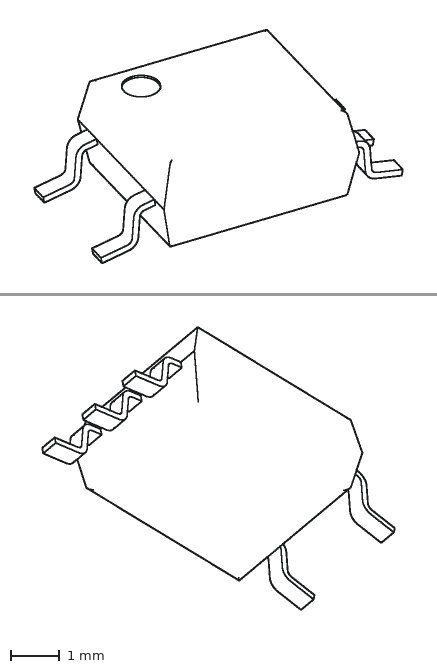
import cadquery as cq
import math

body_width = 3.8
body_length = 4.55
upper_height = 1.0
lower_height = 1.11
side_inset = 0.14
end_inset = 0.22
edge_radius = 0.105

mark_diameter = 0.8
mark_depth = 0.05
mark_x = -1.055
mark_y = -1.245

overall_length = 7.03
lead_width = 0.4
lead_thickness = 0.15
lead_pitch = 1.27
lead_slope = math.radians(11)
leg_lean = math.radians(4)
leg_length = 0.83
shoulder_reach = 0.395
bend_radius = 0.21
embed_length = 0.35


def body_half(height):
    """Tapered half body reaching from the parting plane to Z = height."""
    outer_face = cq.Workplane("XY").rect(body_width, body_length)
    return outer_face.workplane(offset=height).rect(
        body_width - 2 * side_inset, body_length - 2 * end_inset
    ).loft(combine=True)


def make_body():
    upper = body_half(upper_height).faces(">Z").edges().fillet(edge_radius)
    lower = body_half(-lower_height).faces("<Z").edges().fillet(edge_radius)
    mark = (
        cq.Workplane("XY", origin=(mark_x, mark_y, upper_height - mark_depth))
        .circle(mark_diameter / 2)
        .extrude(2 * mark_depth)
    )
    return upper.union(lower).cut(mark)


def make_lead():
    """Lead centred on X = 0 that leaves the +Y end of the body."""
    half_thickness = lead_thickness / 2
    body_end = body_length / 2
    slope = math.tan(lead_slope)

    start = (body_end - embed_length, embed_length * slope - half_thickness)
    upper_bend = (body_end + shoulder_reach, -shoulder_reach * slope - half_thickness)
    lower_bend = (
        upper_bend[0] + leg_length * math.sin(leg_lean),
        upper_bend[1] - leg_length * math.cos(leg_lean),
    )
    tip_y = overall_length / 2 - half_thickness * math.sin(lead_slope)
    tip = (tip_y, lower_bend[1] - (tip_y - lower_bend[0]) * slope)

    bend_angle = math.pi / 2 - lead_slope - leg_lean
    miter_length = half_thickness / math.cos(bend_angle / 2)
    miter_direction = math.pi / 2 - lead_slope - bend_angle / 2
    end_direction = math.pi / 2 - lead_slope

    def shifted(point, distance, direction):
        return (
            point[0] + distance * math.cos(direction),
            point[1] + distance * math.sin(direction),
        )

    def skin(side):
        return [
            shifted(start, side * half_thickness, end_direction),
            shifted(upper_bend, side * miter_length, miter_direction),
            shifted(lower_bend, side * miter_length, miter_direction),
            shifted(tip, side * half_thickness, end_direction),
        ]

    top_skin = skin(1)
    bottom_skin = skin(-1)
    lead = (
        cq.Workplane("YZ")
        .polyline(top_skin + bottom_skin[::-1])
        .close()
        .extrude(lead_width / 2, both=True)
    )
    outer_radius = bend_radius + half_thickness
    inner_radius = bend_radius - half_thickness
    bends = [
        (top_skin[1], outer_radius),
        (bottom_skin[1], inner_radius),
        (top_skin[2], inner_radius),
        (bottom_skin[2], outer_radius),
    ]
    for (y, z), radius in bends:
        corner = cq.selectors.NearestToPointSelector((0, y, z))
        lead = lead.edges("|X").edges(corner).fillet(radius)
    return lead


result = make_body()
back_lead = make_lead()
front_lead = back_lead.mirror("XZ")
for x in (-lead_pitch, 0, lead_pitch):
    result = result.union(back_lead.translate((x, 0, 0)))
for x in (-lead_pitch, lead_pitch):
    result = result.union(front_lead.translate((x, 0, 0)))